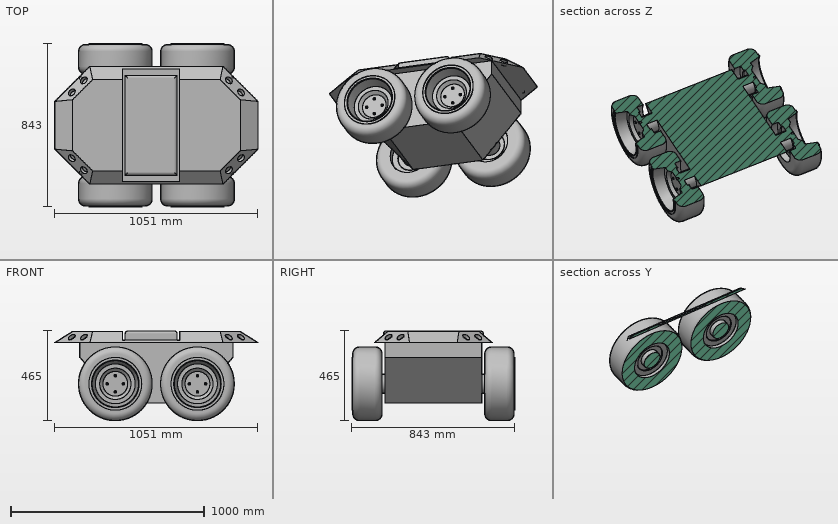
import cadquery as cq
import math


tyre_radius = 382.0 / 2
tyre_inner_y = 265.0
tyre_outer_y = 417.0
tyre_round = 36.0
axle_x = 212.0
axle_radius = 100.0 / 2
rim_radius = 273 / 2
rim_outer_y = 843.0 / 2
rim_lip_depth = 4.0
rim_lip_radius = 123.0
dish_mouth_radius = 120.0
web_outer_radius = 103.0
web_inner_radius = 81.0
web_y = 358.0
hub_face_radius = 64.0
hub_face_y = 340.0
back_recess_radius = 106.0
back_recess_y = 301.0
hub_pocket_radius = 77.0
hub_pocket_y = 309.0
bolt_hole_diameter = 13.0
bolt_hole_depth = 3.0
bolt_core_diameter = 8.0
bolt_core_depth = 13.0
bolt_count = 4
bolt_circle_radius = 42.0

body_length = 792.0
body_width = 501.0
body_bottom_z = 90.0
body_knee_z = 328.0
body_floor_length = 378.0

deck_bottom_z = 404.0
deck_top_z = 461.0
deck_length = 1051.0
deck_top_length = 867.0
deck_width = 610.0
deck_top_width = 472.0
deck_diagonal = 918.0
deck_top_diagonal = 800.0

lamp_diameter = 40.0
lamp_depth = 20.0
lamp_offsets = (101.0, 189.0)

lid_x = -27.0
lid_length = 270.0
lid_width = 517.0
lid_top_z = 465.0
lid_round = 16.0
channel_length = 295.0
channel_floor_z = 416.0


def make_wheel():
    """Wheel and axle turned about Z, outer side up, with heights measured from the rover's middle."""
    arc_mid = tyre_round * (1 - math.sqrt(0.5))
    shoulder_radius = tyre_radius - tyre_round
    profile = (
        cq.Workplane("XZ")
        .moveTo(0, hub_pocket_y)
        .lineTo(hub_pocket_radius, hub_pocket_y)
        .lineTo(hub_pocket_radius, back_recess_y)
        .lineTo(back_recess_radius, back_recess_y)
        .lineTo(back_recess_radius, tyre_inner_y)
        .lineTo(shoulder_radius, tyre_inner_y)
        .threePointArc(
            (tyre_radius - arc_mid, tyre_inner_y + arc_mid),
            (tyre_radius, tyre_inner_y + tyre_round),
        )
        .lineTo(tyre_radius, tyre_outer_y - tyre_round)
        .threePointArc(
            (tyre_radius - arc_mid, tyre_outer_y - arc_mid),
            (shoulder_radius, tyre_outer_y),
        )
        .lineTo(rim_radius, tyre_outer_y)
        .lineTo(rim_radius, rim_outer_y)
        .lineTo(rim_lip_radius, rim_outer_y)
        .lineTo(rim_lip_radius, rim_outer_y - rim_lip_depth)
        .lineTo(dish_mouth_radius, rim_outer_y - rim_lip_depth)
        .lineTo(web_outer_radius, web_y)
        .lineTo(web_inner_radius, web_y)
        .lineTo(hub_face_radius, hub_face_y)
        .lineTo(0, hub_face_y)
        .close()
    )
    wheel = profile.revolve(360, (0, 0, 0), (0, 1, 0))
    for diameter, depth in (
        (bolt_hole_diameter, bolt_hole_depth),
        (bolt_core_diameter, bolt_core_depth),
    ):
        bolt_holes = (
            cq.Workplane("XY", origin=(0, 0, hub_face_y - depth))
            .polarArray(bolt_circle_radius, 0, 360, bolt_count)
            .circle(diameter / 2)
            .extrude(depth)
        )
        wheel = wheel.cut(bolt_holes)

    body_side_y = body_width / 2
    axle = (
        cq.Workplane("XY", origin=(0, 0, body_side_y))
        .circle(axle_radius)
        .extrude(hub_pocket_y - body_side_y)
    )
    return wheel.union(axle)


def make_body():
    """Box whose two ends slope inward below the knee."""
    return (
        cq.Workplane("XZ")
        .moveTo(-body_floor_length / 2, body_bottom_z)
        .lineTo(body_floor_length / 2, body_bottom_z)
        .lineTo(body_length / 2, body_knee_z)
        .lineTo(body_length / 2, deck_bottom_z)
        .lineTo(-body_length / 2, deck_bottom_z)
        .lineTo(-body_length / 2, body_knee_z)
        .close()
        .extrude(body_width / 2, both=True)
    )


def make_ridge(bottom_length, top_length, angle):
    """Long bar as tall as the deck, with two sloping sides facing along the given angle."""
    return (
        cq.Workplane("XZ")
        .moveTo(-bottom_length / 2, deck_bottom_z)
        .lineTo(bottom_length / 2, deck_bottom_z)
        .lineTo(top_length / 2, deck_top_z)
        .lineTo(-top_length / 2, deck_top_z)
        .close()
        .extrude(deck_length, both=True)
        .rotate((0, 0, 0), (0, 0, 1), angle)
    )


def make_lamp_hole(offset, corner_angle):
    """Cutter for one blind hole, offset along the corner slope from the corner's diagonal line."""
    slope_run = (deck_diagonal - deck_top_diagonal) / 2
    slope_rise = deck_top_z - deck_bottom_z
    mid_radius = (deck_diagonal + deck_top_diagonal) / 4
    mid_z = (deck_bottom_z + deck_top_z) / 2
    slope_plane = cq.Plane(
        origin=(mid_radius, offset, mid_z),
        xDir=(0, 1, 0),
        normal=(slope_rise, 0, slope_run),
    )
    hole = cq.Workplane(slope_plane).circle(lamp_diameter / 2).extrude(-lamp_depth)
    return hole.rotate((0, 0, 0), (0, 0, 1), corner_angle)


def make_deck():
    """Eight-sided plate, cut by the channel and the lamp holes."""
    deck = make_ridge(deck_length, deck_top_length, 0)
    deck = deck.intersect(make_ridge(deck_width, deck_top_width, 90))
    for angle in (45, 135):
        deck = deck.intersect(make_ridge(deck_diagonal, deck_top_diagonal, angle))

    channel_depth = deck_top_z - channel_floor_z
    channel = (
        cq.Workplane("XY", origin=(lid_x, 0, channel_floor_z))
        .rect(channel_length, deck_width)
        .extrude(channel_depth)
    )
    deck = deck.cut(channel)

    for corner_angle, side in ((45, -1), (135, 1), (225, -1), (315, 1)):
        for offset in lamp_offsets:
            deck = deck.cut(make_lamp_hole(side * offset, corner_angle))
    return deck


def make_lid():
    """Block with rounded top edges."""
    return (
        cq.Workplane("XY", origin=(lid_x, 0, channel_floor_z))
        .rect(lid_length, lid_width)
        .extrude(lid_top_z - channel_floor_z)
        .faces(">Z")
        .edges()
        .fillet(lid_round)
    )


result = make_body().union(make_deck()).union(make_lid())

near_wheel = make_wheel().rotate((0, 0, 0), (1, 0, 0), 90)
far_wheel = near_wheel.mirror("XZ")
for x in (-axle_x, axle_x):
    for wheel in (near_wheel, far_wheel):
        result = result.union(wheel.translate((x, 0, tyre_radius)))